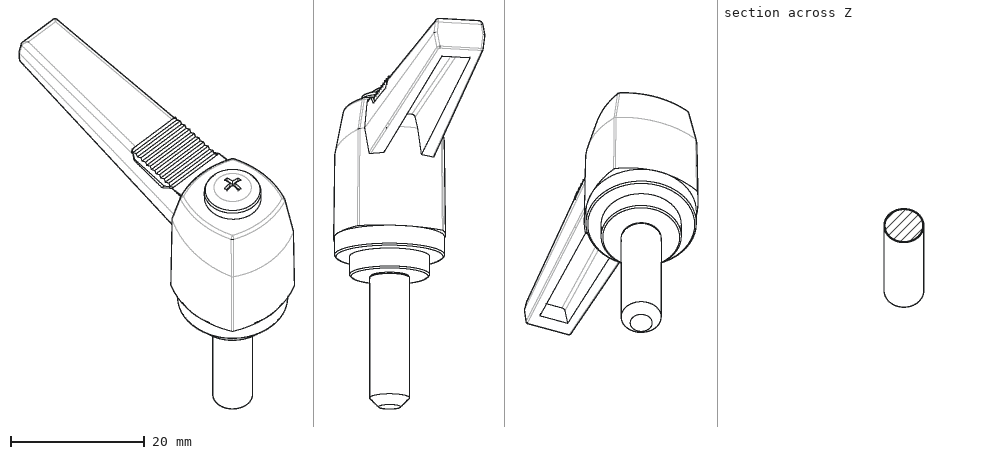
import cadquery as cq
import math


STUD_DIAMETER = 6.0
STUD_LENGTH = 20.0
STUD_LIP_LENGTH = 0.2
STUD_LIP_DIAMETER = 5.7
STUD_TIP_DIAMETER = 3.29
COLLAR_DIAMETER = 12.0
COLLAR_FACE_DIAMETER = 11.5
COLLAR_HEIGHT = 3.0
FLANGE_DIAMETER = 16.5
FLANGE_HEIGHT = 3.0
FLANGE_CHAMFER = 0.25
FLANGE_TOP = COLLAR_HEIGHT + FLANGE_HEIGHT

HUB_SIDE_RADIUS = 14.0
HUB_CORNER_RADIUS = 0.5
HUB_BASE_HALF_WIDTH = 8.2
HUB_DRAFT = 0.8
HUB_SHOULDER_Z = 22.5
HUB_CROWN_Z = 26.5
HUB_CROWN_HALF_WIDTH = 6.5
HUB_TOP_Z = 25.75
HUB_TOP_TILT = 2.3
HUB_EDGE_RADIUS = 0.5
PARTING_TILT = 12.0
PARTING_Z = 19.5
CUTTER_SIZE = 80.0

WASHER_DIAMETER = 8.5
WASHER_SIDE_TOP = 27.0
WASHER_BEVEL_WIDTH = 0.15
WASHER_BEVEL_HEIGHT = 0.45
HEAD_DIAMETER = 5.6
HEAD_BASE_Z = 28.0
HEAD_TOP_Z = FLANGE_TOP + 23.0
CROSS_LENGTH = 2.9
CROSS_WIDTH = 0.55
CROSS_DEPTH = 0.8

LEVER_TIP_X = -41.93
LEVER_TOP_Z = 24.16
LEVER_TOP_TILT = 9.1
LEVER_BOTTOM_Z = 15.14
LEVER_BOTTOM_TILT = 14.4
LEVER_ROOT_X = -3.0
LEVER_OVERLENGTH = 2.0
LEVER_TIP_TILT = 7.0
LEVER_ROOT_HALF_WIDTH = 5.82
LEVER_TIP_HALF_WIDTH = 3.9
LEVER_SIDE_SLOPE = math.tan(math.radians(8.5))
LEVER_TOP_RADIUS = 0.85
LEVER_TIP_RADIUS = 0.4
LEVER_BOTTOM_RADIUS = 0.25

CHANNEL_START_X = -39.2
CHANNEL_ROOF = 2.0
CHANNEL_TIP_HALF_WIDTH = 2.2
CHANNEL_ROOT_HALF_WIDTH = 3.0
CHANNEL_RADIUS = 0.5

GRIP_START_X = -16.75
GROOVE_COUNT = 9
GROOVE_PITCH = 1.0
GROOVE_STEEP_RUN = 0.32
GROOVE_DEPTH = 0.5
GRIP_HALF_WIDTH = 4.65
GRIP_SIDE_DEPTH = 1.6
GRIP_FRONT_RUN = 0.95
GRIP_BACK_RUN = 1.75
GRIP_LENGTH = GROOVE_COUNT * GROOVE_PITCH
STEP_HALF_WIDTH = 4.95


def slope_z(height, tilt, x):
    """Height at x of a line in the XZ plane that falls toward +X."""
    return height - x * math.tan(math.radians(tilt))


def tilted_half_space(height, tilt):
    """Large block whose lower face passes through (0, 0, height) and falls toward +X."""
    angle = math.radians(tilt)
    plane = cq.Plane((0, 0, height), (math.cos(angle), 0, -math.sin(angle)), (math.sin(angle), 0, math.cos(angle)))
    return cq.Workplane(plane).rect(CUTTER_SIZE, CUTTER_SIZE).extrude(CUTTER_SIZE)


def hub_wire(half_width, z):
    """Four bulging sides with rounded corners."""
    centre_offset = HUB_SIDE_RADIUS - half_width
    corner = (math.sqrt(2 * HUB_SIDE_RADIUS**2 - centre_offset**2) - centre_offset) / 2
    wire = (
        cq.Workplane("XY", origin=(0, 0, z))
        .moveTo(corner, -corner)
        .threePointArc((half_width, 0), (corner, corner))
        .threePointArc((0, half_width), (-corner, corner))
        .threePointArc((-half_width, 0), (-corner, -corner))
        .threePointArc((0, -half_width), (corner, -corner))
        .close()
        .val()
    )
    return wire.fillet2D(HUB_CORNER_RADIUS, wire.Vertices())


def make_hub():
    shoulder_half_width = HUB_BASE_HALF_WIDTH - (HUB_SHOULDER_Z - FLANGE_TOP) * math.tan(math.radians(HUB_DRAFT))
    column = cq.Solid.makeLoft(
        [hub_wire(HUB_BASE_HALF_WIDTH, FLANGE_TOP), hub_wire(shoulder_half_width, HUB_SHOULDER_Z)], True
    )
    lower = cq.Workplane(column).cut(tilted_half_space(PARTING_Z, PARTING_TILT))
    parting_wire = lower.faces(">Z").val().outerWire()
    crown = cq.Solid.makeLoft([parting_wire, hub_wire(HUB_CROWN_HALF_WIDTH, HUB_CROWN_Z)], True)
    upper = cq.Workplane(crown).cut(tilted_half_space(HUB_TOP_Z, HUB_TOP_TILT))
    upper = upper.faces(">Z").edges().fillet(HUB_EDGE_RADIUS)
    return lower.union(upper)


def make_turned_parts():
    """Stud, collar and flange below the hub, washer and domed screw head above it."""
    stud_radius = STUD_DIAMETER / 2
    tip_radius = STUD_TIP_DIAMETER / 2
    collar_radius = COLLAR_DIAMETER / 2
    face_radius = COLLAR_FACE_DIAMETER / 2
    flange_radius = FLANGE_DIAMETER / 2
    lip_radius = STUD_LIP_DIAMETER / 2
    base = (
        cq.Workplane("XZ")
        .moveTo(0, -STUD_LENGTH)
        .lineTo(tip_radius, -STUD_LENGTH)
        .lineTo(stud_radius, -STUD_LENGTH + stud_radius - tip_radius)
        .lineTo(stud_radius, -STUD_LIP_LENGTH)
        .lineTo(lip_radius, -STUD_LIP_LENGTH)
        .lineTo(lip_radius, 0)
        .lineTo(face_radius, 0)
        .lineTo(collar_radius, collar_radius - face_radius)
        .lineTo(collar_radius, COLLAR_HEIGHT)
        .lineTo(flange_radius - FLANGE_CHAMFER, COLLAR_HEIGHT)
        .lineTo(flange_radius, COLLAR_HEIGHT + FLANGE_CHAMFER)
        .lineTo(flange_radius, FLANGE_TOP)
        .lineTo(0, FLANGE_TOP)
        .close()
        .revolve(360, (0, 0, 0), (0, 1, 0))
    )
    head_radius = HEAD_DIAMETER / 2
    dome_rise = HEAD_TOP_Z - HEAD_BASE_Z
    dome_radius = (head_radius**2 + dome_rise**2) / (2 * dome_rise)
    mid_radius = head_radius / 2
    mid_z = HEAD_TOP_Z - dome_radius + math.sqrt(dome_radius**2 - mid_radius**2)
    washer_radius = WASHER_DIAMETER / 2
    head = (
        cq.Workplane("XZ")
        .moveTo(0, FLANGE_TOP)
        .lineTo(washer_radius, FLANGE_TOP)
        .lineTo(washer_radius, WASHER_SIDE_TOP)
        .lineTo(washer_radius - WASHER_BEVEL_WIDTH, WASHER_SIDE_TOP + WASHER_BEVEL_HEIGHT)
        .lineTo(head_radius, HEAD_BASE_Z)
        .threePointArc((mid_radius, mid_z), (0, HEAD_TOP_Z))
        .close()
        .revolve(360, (0, 0, 0), (0, 1, 0))
    )
    cross = cq.Workplane("XY", origin=(0, 0, HEAD_TOP_Z)).rect(CROSS_LENGTH, CROSS_WIDTH).extrude(-CROSS_DEPTH)
    cross = cross.union(cross.rotate((0, 0, 0), (0, 0, 1), 90))
    return base, head, cross


def lever_section(x):
    """Hexagonal cross-section, widest on the parting plane."""
    top = slope_z(LEVER_TOP_Z, LEVER_TOP_TILT, x)
    middle = slope_z(PARTING_Z, PARTING_TILT, x)
    bottom = slope_z(LEVER_BOTTOM_Z, LEVER_BOTTOM_TILT, x)
    share = (x - LEVER_ROOT_X) / (LEVER_TIP_X - LEVER_ROOT_X)
    half = LEVER_ROOT_HALF_WIDTH + share * (LEVER_TIP_HALF_WIDTH - LEVER_ROOT_HALF_WIDTH)
    top_half = half - (top - middle) * LEVER_SIDE_SLOPE
    bottom_half = half - (middle - bottom) * LEVER_SIDE_SLOPE
    points = [
        cq.Vector(x, -bottom_half, bottom),
        cq.Vector(x, bottom_half, bottom),
        cq.Vector(x, half, middle),
        cq.Vector(x, top_half, top),
        cq.Vector(x, -top_half, top),
        cq.Vector(x, -half, middle),
    ]
    return cq.Wire.makePolygon(points, close=True)


def channel_section(x, half_width):
    """Trapezoid open at the lever underside, narrowing upward."""
    roof = slope_z(LEVER_TOP_Z, LEVER_TOP_TILT, x) - CHANNEL_ROOF
    bottom = slope_z(LEVER_BOTTOM_Z, LEVER_BOTTOM_TILT, x)
    roof_half = half_width - (roof - bottom) * LEVER_SIDE_SLOPE
    points = [
        cq.Vector(x, -half_width, bottom),
        cq.Vector(x, half_width, bottom),
        cq.Vector(x, roof_half, roof),
        cq.Vector(x, -roof_half, roof),
    ]
    return cq.Wire.makePolygon(points, close=True)


def make_lever_blank():
    """Arm with rounded top edges, then a sharp-topped stretch from the grip into the hub."""
    arm = cq.Workplane(
        cq.Solid.makeLoft([lever_section(LEVER_TIP_X - LEVER_OVERLENGTH), lever_section(GRIP_START_X)], True)
    )
    tip_z = slope_z(LEVER_BOTTOM_Z, LEVER_BOTTOM_TILT, LEVER_TIP_X)
    tip_cut = (
        cq.Workplane("XY")
        .box(CUTTER_SIZE, CUTTER_SIZE, CUTTER_SIZE)
        .translate((-CUTTER_SIZE / 2, 0, 0))
        .rotate((0, 0, 0), (0, 1, 0), LEVER_TIP_TILT)
        .translate((LEVER_TIP_X, 0, tip_z))
    )
    arm = arm.cut(tip_cut)
    arm = arm.faces(">Z").edges("not >X").fillet(LEVER_TOP_RADIUS)
    arm = arm.faces("<X").edges("not(<Z or >Z)").fillet(LEVER_TIP_RADIUS)
    arm = arm.faces("<<Z").edges("not >X").fillet(LEVER_BOTTOM_RADIUS)

    grip_stretch = cq.Workplane(
        cq.Solid.makeLoft([lever_section(GRIP_START_X), lever_section(LEVER_ROOT_X)], True)
    )
    grip_stretch = grip_stretch.faces("<<Z").edges("not(<X or >X)").fillet(LEVER_BOTTOM_RADIUS)
    return arm.union(grip_stretch)


def make_channel():
    sections = [
        channel_section(CHANNEL_START_X, CHANNEL_TIP_HALF_WIDTH),
        channel_section(LEVER_ROOT_X, CHANNEL_ROOT_HALF_WIDTH),
    ]
    channel = cq.Workplane(cq.Solid.makeLoft(sections, True))
    return channel.faces(">>Z[-2]").edges("not(<X or >X)").fillet(CHANNEL_RADIUS)


def grip_workplane():
    angle = math.radians(LEVER_TOP_TILT)
    origin = (GRIP_START_X, 0, slope_z(LEVER_TOP_Z, LEVER_TOP_TILT, GRIP_START_X))
    return cq.Workplane(cq.Plane(origin, (math.cos(angle), 0, -math.sin(angle)), (0, -1, 0)))


def cut_grip(lever):
    """Saw-tooth grooves across the top, and a shallow recess in each flank beside them."""
    for index in range(GROOVE_COUNT):
        start = index * GROOVE_PITCH
        groove = (
            grip_workplane()
            .polyline(
                [(start, 0), (start + GROOVE_STEEP_RUN, -GROOVE_DEPTH), (start + GROOVE_PITCH, 0)]
            )
            .close()
            .extrude(LEVER_ROOT_HALF_WIDTH, both=True)
        )
        lever = lever.cut(groove)
    flanks = (
        grip_workplane()
        .polyline(
            [
                (0, 0),
                (GRIP_FRONT_RUN, -GRIP_SIDE_DEPTH),
                (GRIP_LENGTH - GRIP_BACK_RUN, -GRIP_SIDE_DEPTH),
                (GRIP_LENGTH, 0),
            ]
        )
        .close()
        .extrude(LEVER_ROOT_HALF_WIDTH, both=True)
    )
    kept_core = cq.Workplane("XY").box(CUTTER_SIZE, 2 * GRIP_HALF_WIDTH, CUTTER_SIZE)
    return lever.cut(flanks.cut(kept_core))


def make_lever():
    lever = cut_grip(make_lever_blank())
    step_x = GRIP_START_X + GRIP_LENGTH * math.cos(math.radians(LEVER_TOP_TILT))
    step_z = slope_z(LEVER_TOP_Z, LEVER_TOP_TILT, step_x)
    root_z = slope_z(LEVER_TOP_Z, LEVER_TOP_TILT, LEVER_ROOT_X)
    step = (
        cq.Workplane("XZ")
        .polyline([(step_x, step_z), (LEVER_ROOT_X, step_z), (LEVER_ROOT_X, root_z)])
        .close()
        .extrude(STEP_HALF_WIDTH, both=True)
    )
    return lever.union(step).cut(make_channel())


base, head, cross = make_turned_parts()
result = make_lever().union(make_hub()).union(base).union(head).cut(cross)